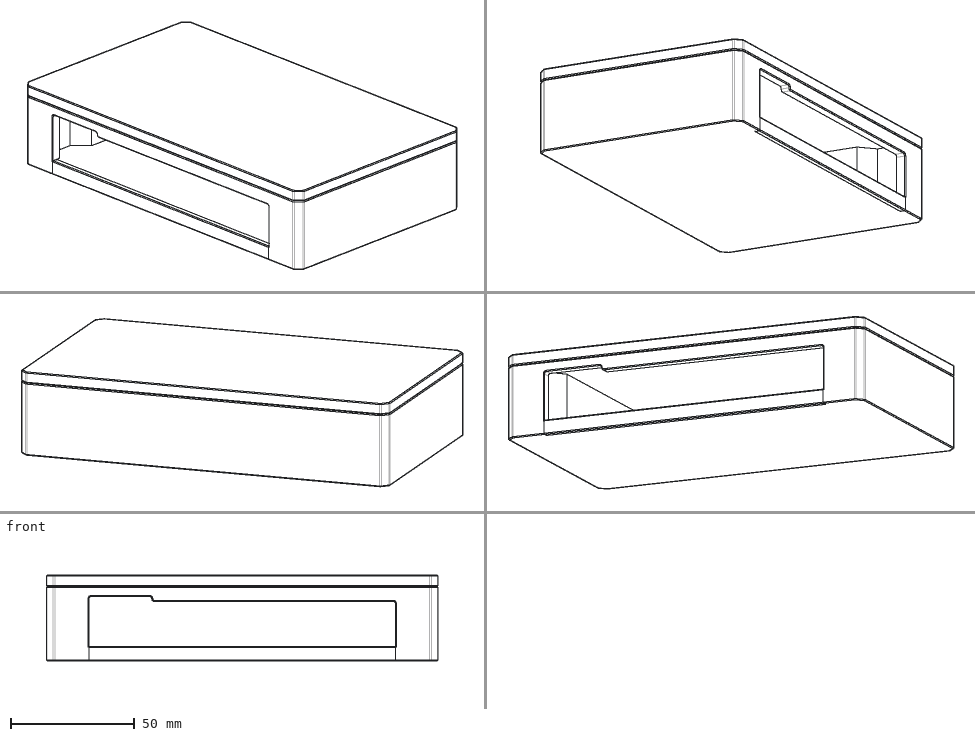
import cadquery as cq

length = 157.99
width = 92.99
height = 34.7
lid_height = 4.6
housing_height = height - lid_height
front_y = -width / 2

corner_chamfer = 3.0
corner_blend = 1.0
rim_chamfer = 0.4

window_half_width = 61.8
window_step_x = -36.5
window_high_top = 26.1
window_low_top = 24.1
window_corner = 1.0
window_chamfer = 0.4

sill_height = 5.95
sill_depth = 2.3

front_wall = 4.0
rear_wall = 4.0
bay_side_wall = 11.0
bay_depth = 12.0
floor_height = sill_height


def chamfered_block(base_z, block_height):
    """Block with cut and softened upright corners and bevelled top and bottom rims."""
    block = (
        cq.Workplane("XY", origin=(0, 0, base_z))
        .rect(length, width)
        .extrude(block_height)
        .edges("|Z")
        .chamfer(corner_chamfer)
        .edges("|Z")
        .fillet(corner_blend)
    )
    return block.faces("<Z or >Z").chamfer(rim_chamfer)


def window_outline(y):
    """Stepped window outline with rounded upper corners, on an upright plane at the given Y."""
    r = window_corner
    left = -window_half_width
    right = window_half_width
    return (
        cq.Workplane("XZ", origin=(0, y, 0))
        .moveTo(left, sill_height)
        .lineTo(left, window_high_top - r)
        .radiusArc((left + r, window_high_top), r)
        .lineTo(window_step_x - r, window_high_top)
        .radiusArc((window_step_x, window_high_top - r), r)
        .radiusArc((window_step_x + r, window_low_top), -r)
        .lineTo(right - r, window_low_top)
        .radiusArc((right, window_low_top - r), r)
        .lineTo(right, sill_height)
        .close()
    )


def window_cutter():
    """Opening through the front wall, with a 45 degree bevel flaring out to the front face."""
    opening = window_outline(front_y).extrude(-front_wall)
    flare = window_outline(front_y + window_chamfer).extrude(window_chamfer, taper=-45)
    return opening.union(flare)


def cavity_cutter():
    """Hollow above the floor, open at the top where the lid covers it."""
    bay_half_width = length / 2 - bay_side_wall
    bay_front = front_y + front_wall
    bay_back = bay_front + bay_depth
    shoulder_back = bay_back + bay_half_width - window_half_width
    cavity_back = width / 2 - rear_wall
    return (
        cq.Workplane("XY", origin=(0, 0, floor_height))
        .moveTo(-bay_half_width, bay_front)
        .lineTo(bay_half_width, bay_front)
        .lineTo(bay_half_width, bay_back)
        .lineTo(window_half_width, shoulder_back)
        .lineTo(window_half_width, cavity_back)
        .lineTo(-window_half_width, cavity_back)
        .lineTo(-window_half_width, shoulder_back)
        .lineTo(-bay_half_width, bay_back)
        .close()
        .extrude(housing_height - floor_height)
    )


def sill_slot():
    """Block in the front face that the sill bar fills."""
    return cq.Workplane("XY", origin=(0, front_y, 0)).box(
        2 * window_half_width, sill_depth, sill_height, centered=(True, False, False)
    )


outer_shape = chamfered_block(0, housing_height)
window = window_cutter()
slot = sill_slot()
housing = outer_shape.cut(cavity_cutter()).cut(window).cut(slot)
sill = outer_shape.intersect(slot).cut(window)

lid = chamfered_block(housing_height, lid_height)

result = cq.Compound.makeCompound([housing.val(), sill.val(), lid.val()])